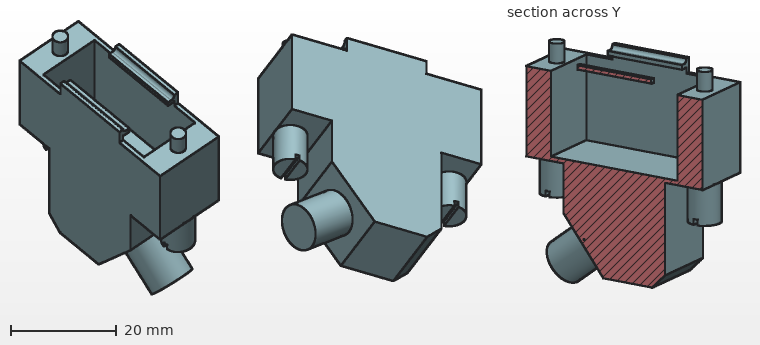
import cadquery as cq
import math


body_width = 39.65
depth = 15.0
head_height = 17.95
neck_width = 22.95
neck_height = 21.25
corner_chamfer = 3.0
slope_run = 8.95
slope_rise = 11.4

wall = 1.0
cavity_width = 28.35
cavity_depth = head_height - wall

tab_width = 16.65
tab_height = 3.0
lip_reach = 2.6
lip_bottom = 1.15
lip_top = 2.1
cove_radius = 0.8

screw_spacing = 33.25
pin_diameter = 3.0
pin_height = 3.9
screw_head_diameter = 6.5
screw_head_height = 8.1
slot_width = 0.85
slot_depth = 1.13

cable_diameter = 9.1
cable_length = 9.85
cable_distance = 7.05


def make_body():
    side = neck_width / 2
    bottom = -head_height - neck_height
    outline = [
        (-body_width / 2, 0),
        (body_width / 2, 0),
        (body_width / 2, -head_height),
        (side, -head_height),
        (side, bottom + slope_rise),
        (side - slope_run, bottom),
        (-side + corner_chamfer, bottom),
        (-side, bottom + corner_chamfer),
        (-side, -head_height),
        (-body_width / 2, -head_height),
    ]
    body = cq.Workplane("XZ").polyline(outline).close().extrude(depth / 2, both=True)
    cavity = (
        cq.Workplane("XY")
        .rect(cavity_width, depth - 2 * wall)
        .extrude(-cavity_depth)
    )
    return body.cut(cavity)


def make_tab():
    """Tab on the -Y wall, with an inward lip and a cove above the lip."""
    outer = -depth / 2
    inner = outer + wall
    lip_end = outer + lip_reach
    cove_offset = cove_radius * (1 - math.sqrt(0.5))
    return (
        cq.Workplane("YZ")
        .moveTo(outer, 0)
        .lineTo(inner, 0)
        .lineTo(inner, lip_bottom)
        .lineTo(lip_end, lip_bottom)
        .lineTo(lip_end, lip_top)
        .lineTo(inner + cove_radius, lip_top)
        .threePointArc(
            (inner + cove_offset, lip_top + cove_offset),
            (inner, lip_top + cove_radius),
        )
        .lineTo(inner, tab_height)
        .lineTo(outer, tab_height)
        .close()
        .extrude(tab_width / 2, both=True)
    )


def make_screw(x):
    pin = cq.Workplane("XY").center(x, 0).circle(pin_diameter / 2).extrude(pin_height)
    head = (
        cq.Workplane("XY", origin=(x, 0, -head_height))
        .circle(screw_head_diameter / 2)
        .extrude(-screw_head_height)
    )
    slot = (
        cq.Workplane("XY", origin=(x, 0, -head_height - screw_head_height))
        .rect(slot_width, screw_head_diameter)
        .extrude(slot_depth)
    )
    return pin, head.cut(slot)


def make_cable_entry():
    slope_length = math.hypot(slope_run, slope_rise)
    fraction = cable_distance / slope_length
    start = (
        neck_width / 2 - slope_run * fraction,
        0,
        -head_height - neck_height + slope_rise * (1 - fraction),
    )
    plane = cq.Plane(origin=start, xDir=(0, 1, 0), normal=(slope_rise, 0, -slope_run))
    return cq.Workplane(plane).circle(cable_diameter / 2).extrude(cable_length)


tab = make_tab()
result = make_body().union(tab).union(tab.mirror("XZ")).union(make_cable_entry())
for screw_x in (-screw_spacing / 2, screw_spacing / 2):
    for screw_part in make_screw(screw_x):
        result = result.union(screw_part)